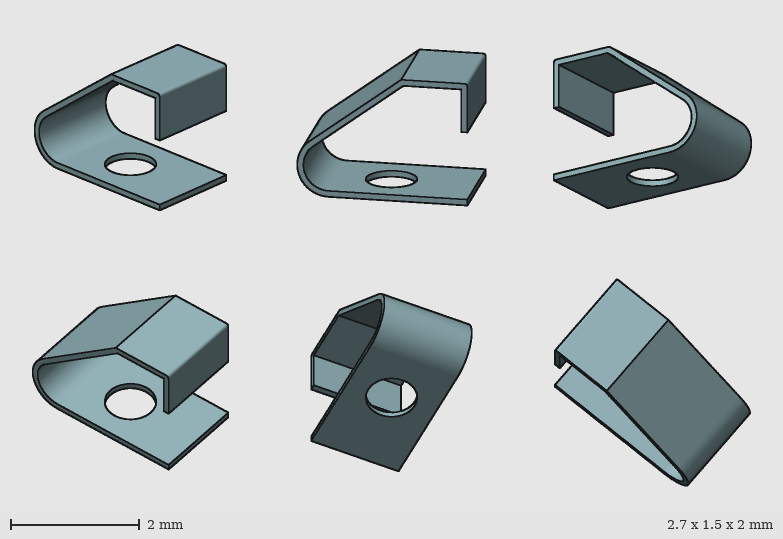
import cadquery as cq
import math

length = 2.7
width = 1.5
height = 2.0
thickness = 0.1
bend_radius = 0.5
slope_angle = math.radians(37.2)
lip_length = 0.8
corner_radius = 0.05
hole_diameter = 0.8

tan_slope = math.tan(slope_angle)


def bend_point(radius, angle):
    """Point on a circle about the bend axis, at an angle from +X."""
    return (
        bend_radius + radius * math.cos(angle),
        bend_radius + radius * math.sin(angle),
    )


arc_start = -math.pi / 2
arc_end = slope_angle - 3 * math.pi / 2
arc_middle = (arc_start + arc_end) / 2
inner_radius = bend_radius - thickness

outer_tangent = bend_point(bend_radius, arc_end)
inner_tangent = bend_point(inner_radius, arc_end)
inner_top = height - thickness
inner_lip = length - thickness
lip_bottom = height - lip_length


def slope_end_x(tangent, level):
    """X where the straight arm leaving a tangent point reaches a level."""
    return tangent[0] + (level - tangent[1]) / tan_slope


strip = (
    cq.Workplane("XZ")
    .moveTo(length, 0)
    .lineTo(bend_radius, 0)
    .threePointArc(bend_point(bend_radius, arc_middle), outer_tangent)
    .lineTo(slope_end_x(outer_tangent, height), height)
    .lineTo(length, height)
    .lineTo(length, lip_bottom)
    .lineTo(inner_lip, lip_bottom)
    .lineTo(inner_lip, inner_top)
    .lineTo(slope_end_x(inner_tangent, inner_top), inner_top)
    .lineTo(*inner_tangent)
    .threePointArc(bend_point(inner_radius, arc_middle), (bend_radius, thickness))
    .lineTo(length, thickness)
    .close()
    .extrude(width / 2, both=True)
)

strip = strip.edges("|Y").edges(">(1, 0, 1)").fillet(corner_radius)

hole = (
    cq.Workplane("XY")
    .center(length / 2, 0)
    .circle(hole_diameter / 2)
    .extrude(thickness)
)

result = strip.cut(hole)